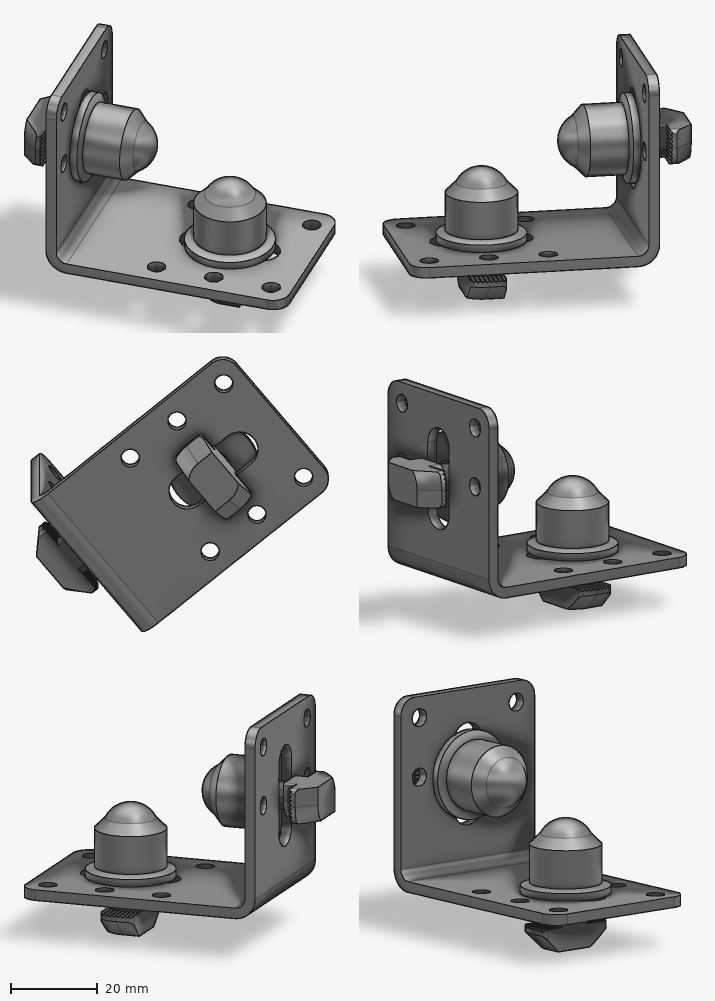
import cadquery as cq
import math

base_length = 58.05
wall_height = 45.0
bracket_width = 40.0
plate_thickness = 2.5
bend_inner_radius = 2.5
bend_outer_radius = bend_inner_radius + plate_thickness
plate_corner_radius = 4.0

screw_hole_diameter = 4.2
screw_hole_end_distance = 5.0
screw_hole_pitch = 14.0
screw_hole_row_spacing = 29.0
base_hole_columns = 3
wall_hole_columns = 2

slot_length = 24.1
slot_width = 8.5
base_fastener_x = 38.05
wall_fastener_z = 25.0

flange_diameter = 21.0
flange_bore_diameter = 8.0
flange_rim_height = 1.8
flange_height = 2.45

cap_diameter = 16.8
cap_cylinder_top = 11.45
cap_cone_top = 13.9
cap_top = 17.5
dome_base_radius = cap_diameter / 2 - (cap_cone_top - cap_cylinder_top)

shank_diameter = 6.5
neck_depth = 1.4
wing_depth = 4.5
bolt_depth = 10.15
head_width = 8.45
head_length = 19.6
head_end_chamfer = 4.1
neck_length = 10.1
wing_corner_radius = 1.0
neck_corner_radius = 0.5

serration_count = 8
serration_pitch = 1.0
serration_depth = serration_pitch / 2


def add_leg_cutouts(bracket, plane, leg_length, slot_position, hole_columns):
    """Cut the slot and the screw holes of one leg; the plane's local X runs along the leg."""
    slot = (
        cq.Workplane(plane)
        .center(slot_position, 0)
        .slot2D(slot_length, slot_width)
        .extrude(plate_thickness)
    )
    hole_points = [
        (leg_length - screw_hole_end_distance - column * screw_hole_pitch, side * screw_hole_row_spacing / 2)
        for column in range(hole_columns)
        for side in (-1, 1)
    ]
    holes = (
        cq.Workplane(plane)
        .pushPoints(hole_points)
        .circle(screw_hole_diameter / 2)
        .extrude(plate_thickness)
    )
    return bracket.cut(slot).cut(holes)


def make_bracket():
    """Bent plate with rounded free corners, a slot and screw holes in each leg."""
    bracket = (
        cq.Workplane("XZ")
        .polyline([
            (0, 0),
            (base_length, 0),
            (base_length, plate_thickness),
            (plate_thickness, plate_thickness),
            (plate_thickness, wall_height),
            (0, wall_height),
        ])
        .close()
        .extrude(bracket_width / 2, both=True)
    )
    bracket = bracket.edges("|Y and <X and <Z").fillet(bend_outer_radius)
    inner_corner = cq.selectors.NearestToPointSelector((plate_thickness, 0, plate_thickness))
    bracket = bracket.edges("|Y").edges(inner_corner).fillet(bend_inner_radius)
    bracket = bracket.faces(">X").edges("|Z").fillet(plate_corner_radius)
    bracket = bracket.faces(">Z").edges("|X").fillet(plate_corner_radius)

    base_plane = cq.Plane(origin=(0, 0, 0), xDir=(1, 0, 0), normal=(0, 0, 1))
    wall_plane = cq.Plane(origin=(0, 0, 0), xDir=(0, 0, 1), normal=(1, 0, 0))
    bracket = add_leg_cutouts(bracket, base_plane, base_length, base_fastener_x, base_hole_columns)
    return add_leg_cutouts(bracket, wall_plane, wall_height, wall_fastener_z, wall_hole_columns)




def make_flange():
    """Disc on the inner plate face, with a tapered rim and a clearance bore for the bolt shank."""
    return (
        cq.Workplane("XZ", origin=(0, 0, plate_thickness))
        .moveTo(flange_bore_diameter / 2, 0)
        .lineTo(flange_diameter / 2, 0)
        .lineTo(flange_diameter / 2, flange_rim_height)
        .lineTo(cap_diameter / 2, flange_height)
        .lineTo(flange_bore_diameter / 2, flange_height)
        .close()
        .revolve(360, (0, 0, 0), (0, 1, 0))
    )


def make_cap():
    """Domed cap standing on the flange."""
    dome_height = cap_top - cap_cone_top
    dome_radius = (dome_base_radius**2 + dome_height**2) / (2 * dome_height)
    half_angle = math.asin(dome_base_radius / dome_radius) / 2
    dome_mid_point = (
        dome_radius * math.sin(half_angle),
        cap_top - dome_radius * (1 - math.cos(half_angle)),
    )
    return (
        cq.Workplane("XZ", origin=(0, 0, plate_thickness))
        .moveTo(0, flange_height)
        .lineTo(cap_diameter / 2, flange_height)
        .lineTo(cap_diameter / 2, cap_cylinder_top)
        .lineTo(dome_base_radius, cap_cone_top)
        .threePointArc(dome_mid_point, (0, cap_top))
        .close()
        .revolve(360, (0, 0, 0), (0, 1, 0))
    )


def make_quarter_turn_block(half_profile, corner_radius):
    """Block of the head width whose ends are round in the +X+Y and -X-Y quadrants and straight in the others.

    The half profile lists (distance from the axis, Z) points.
    """
    straight_quadrant = (
        cq.Workplane("YZ")
        .polyline(half_profile)
        .close()
        .extrude(-head_width / 2)
    )
    round_quadrant = (
        cq.Workplane("YZ")
        .polyline(half_profile)
        .close()
        .revolve(90, (0, 0, 0), (0, -1, 0))
    )
    width_limit = cq.Workplane("XY").box(head_width, head_length, 2 * bolt_depth)
    half_block = straight_quadrant.union(round_quadrant.intersect(width_limit))
    block = half_block.union(half_block.rotate((0, 0, 0), (0, 0, 1), 180)).clean()
    corner_edges = block.faces("<X or >X").edges("|Z")
    return corner_edges.fillet(corner_radius)


def make_serration_grooves():
    """Parallel V grooves along Y, open at the clamping face of the wings."""
    first_groove = -(serration_count - 1) / 2 * serration_pitch
    grooves = cq.Workplane("XZ")
    for index in range(serration_count):
        groove_x = first_groove + index * serration_pitch
        grooves = grooves.polyline([
            (groove_x - serration_pitch / 2, -wing_depth),
            (groove_x, -wing_depth - serration_depth),
            (groove_x + serration_pitch / 2, -wing_depth),
        ]).close()
    return grooves.extrude(head_length / 2, both=True)


def make_bolt():
    """Hammer-head bolt: serrated wings, neck and a shank that ends under the cap."""
    head = make_quarter_turn_block(
        [
            (0, -wing_depth),
            (head_length / 2, -wing_depth),
            (head_length / 2, -bolt_depth + head_end_chamfer),
            (head_length / 2 - head_end_chamfer, -bolt_depth),
            (0, -bolt_depth),
        ],
        wing_corner_radius,
    )
    neck_bottom = -wing_depth - serration_depth
    neck = make_quarter_turn_block(
        [
            (0, neck_bottom),
            (neck_length / 2, neck_bottom),
            (neck_length / 2, -neck_depth),
            (0, -neck_depth),
        ],
        neck_corner_radius,
    )
    shank = (
        cq.Workplane("XY", origin=(0, 0, -neck_depth))
        .circle(shank_diameter / 2)
        .extrude(neck_depth + plate_thickness + flange_height)
    )
    return head.cut(make_serration_grooves()).union(neck).union(shank)


def place_on_base(body):
    """Move a fastener body to the slot of the base leg."""
    return body.translate((base_fastener_x, 0, 0))


def place_on_wall(body):
    """Turn a fastener body to point along +X and move it to the slot of the wall leg."""
    return body.rotate((0, 0, 0), (0, 1, 0), 90).translate((0, 0, wall_fastener_z))


bracket = make_bracket()

fastener_bodies = []
for place in (place_on_base, place_on_wall):
    for make_body in (make_flange, make_cap, make_bolt):
        fastener_bodies.append(place(make_body()).val())

result = cq.Compound.makeCompound([bracket.val(), *fastener_bodies])